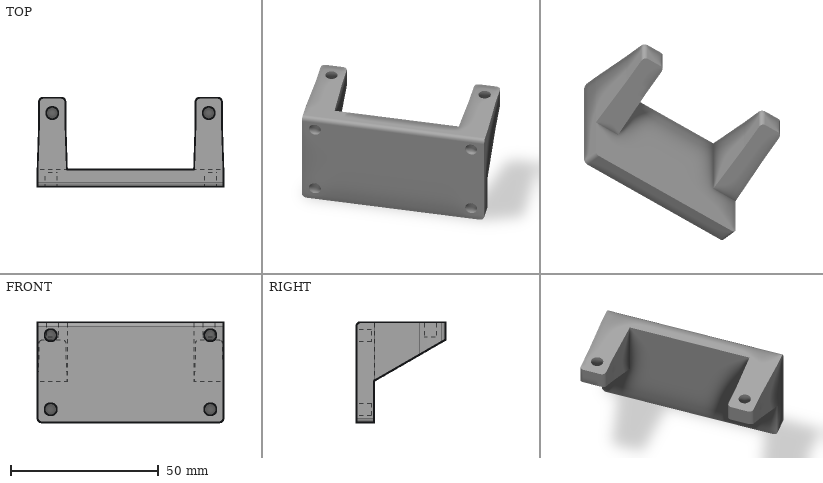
import cadquery as cq

plate_width = 63.0
plate_height = 34.0
plate_thickness = 6.0
edge_radius = 1.5

total_depth = 30.25
arm_width = 9.0
arm_taper = 0.5
arm_straight_length = 9.0
arm_root_height = 20.0
arm_tip_height = 6.0
arm_center_x = plate_width / 2 - arm_taper - arm_width / 2

hole_diameter = 4.15
hole_depth = 5.0
plate_hole_inset = 4.5
arm_hole_inset = 5.2


def make_plate():
    plate = cq.Workplane("XY").box(
        plate_width, plate_thickness, plate_height, centered=(True, False, False)
    )
    plate = plate.edges("|Y and <Z").fillet(edge_radius)
    return plate.faces("<Y").edges(">Z").fillet(edge_radius)


def make_arm(center_x):
    half_tip = arm_width / 2
    half_root = half_tip + arm_taper
    taper_end_y = total_depth - arm_straight_length
    arm = (
        cq.Workplane("XY")
        .polyline([
            (center_x - half_root, plate_thickness),
            (center_x - half_tip, taper_end_y),
            (center_x - half_tip, total_depth),
            (center_x + half_tip, total_depth),
            (center_x + half_tip, taper_end_y),
            (center_x + half_root, plate_thickness),
        ])
        .close()
        .extrude(plate_height)
        .edges("|Z and >Y")
        .fillet(edge_radius)
    )
    gusset = (
        cq.Workplane("YZ")
        .polyline([
            (plate_thickness, plate_height),
            (total_depth, plate_height),
            (total_depth, plate_height - arm_tip_height),
            (plate_thickness, plate_height - arm_root_height),
        ])
        .close()
        .extrude(plate_width, both=True)
    )
    return arm.intersect(gusset)


def drill_plate(body):
    hole_x = plate_width / 2 - plate_hole_inset
    places = [
        (x, z)
        for x in (-hole_x, hole_x)
        for z in (plate_hole_inset, plate_height - plate_hole_inset)
    ]
    holes = cq.Workplane("XZ").pushPoints(places).circle(hole_diameter / 2).extrude(-hole_depth)
    return body.cut(holes)


def drill_arms(body):
    hole_y = total_depth - arm_hole_inset
    holes = (
        cq.Workplane("XY", origin=(0, 0, plate_height))
        .pushPoints([(-arm_center_x, hole_y), (arm_center_x, hole_y)])
        .circle(hole_diameter / 2)
        .extrude(-hole_depth)
    )
    return body.cut(holes)


bracket = make_plate()
for side in (-1, 1):
    bracket = bracket.union(make_arm(side * arm_center_x))

result = drill_arms(drill_plate(bracket))